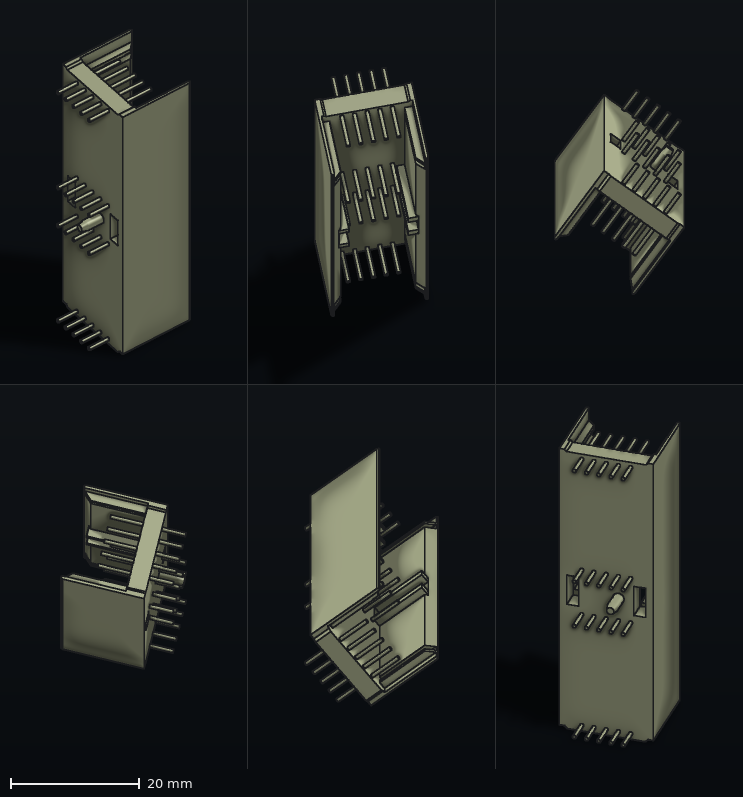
import cadquery as cq


width = 15.4
depth = 13.35
plate_thickness = 3.0
total_height = 50.35
top_z = 25.3
tab_height = 0.45
notch_depth = 0.35
joint_inset = 0.85
wall_bottom_z = top_z - total_height + tab_height
half_width = width / 2

wall_thickness = 0.5
wall_tip_setback_x = 0.15
wall_outer_tip_drop = 0.3
wall_inner_tip_drop = 0.2

rib_reach = 1.75
rib_half_height = 23.1
rib_end_strip = 0.75
groove_height = 1.25

key_reach = 3.0
key_setback = 1.05
key_gap_start = 1.4
left_key_gap_height = 3.15
right_key_gap_height = 3.95
window_start = 1.25
window_width = 1.9
window_height = 5.25

pin_diameter = 0.6
pin_front_length = 3.8
pin_back_length = 5.25
outer_row_z = 24.0
pitch = outer_row_z / 12
inner_row_z = 2 * pitch
pins_per_row = 5
key_half_height = 1.5 * pitch

post_diameter = 1.8
post_tip_diameter = 1.2
post_length = 4.1
post_straight_length = 2.85


def box(x_range, y_range, z_range):
    """Box between two limits on each axis."""
    sizes = [high - low for low, high in (x_range, y_range, z_range)]
    corner = (x_range[0], y_range[0], z_range[0])
    return cq.Workplane("XY").box(*sizes, centered=False).translate(corner)


def extrude_up(points, z_low, z_high):
    """Prism along Z over an XY outline."""
    return cq.Workplane("XY").workplane(offset=z_low).polyline(points).close().extrude(z_high - z_low)


def joint_prism(z_wide, z_narrow):
    """Trapezoid across the plate with 45 degree ends, used for the tongue and the recess."""
    wide = half_width - joint_inset
    narrow = wide - abs(z_wide - z_narrow)
    outline = [(-wide, z_wide), (wide, z_wide), (narrow, z_narrow), (-narrow, z_narrow)]
    return cq.Workplane("XZ").polyline(outline).close().extrude(-plate_thickness)


def base_plate():
    plate = box((-half_width, half_width), (0, plate_thickness), (wall_bottom_z, top_z))
    tongue = joint_prism(wall_bottom_z, wall_bottom_z - tab_height)
    recess = joint_prism(top_z, top_z - notch_depth)
    return plate.union(tongue).cut(recess)


def left_wall(key_gap_height):
    """Left side wall with its guide rib and keying block."""
    outer_x = -half_width
    inner_x = outer_x + wall_thickness
    rib_x = outer_x + rib_reach
    key_x = outer_x + key_reach

    wall_outline = [
        (outer_x, 0),
        (outer_x, depth - wall_outer_tip_drop),
        (outer_x + wall_tip_setback_x, depth),
        (inner_x - wall_tip_setback_x, depth),
        (inner_x, depth - wall_inner_tip_drop),
        (inner_x, 0),
    ]
    wall = extrude_up(wall_outline, wall_bottom_z, top_z)

    lead_in_start_y = depth - wall_inner_tip_drop
    lead_in_end_y = lead_in_start_y - (rib_reach - wall_thickness)
    rib_outline = [
        (inner_x, plate_thickness),
        (inner_x, lead_in_start_y),
        (rib_x, lead_in_end_y),
        (rib_x, plate_thickness),
    ]
    rib = extrude_up(rib_outline, -rib_half_height, rib_half_height)
    groove_top_z = rib_half_height - rib_end_strip
    groove = box(
        (inner_x, rib_x),
        (plate_thickness, depth),
        (groove_top_z - groove_height, groove_top_z),
    )
    rib = rib.cut(groove).cut(groove.mirror("XY"))

    key_block = box(
        (inner_x, key_x),
        (plate_thickness, depth - key_setback),
        (-key_half_height, key_half_height),
    )
    key_gap = box(
        (outer_x + key_gap_start, key_x),
        (plate_thickness, depth),
        (-key_gap_height / 2, key_gap_height / 2),
    )
    return wall.union(rib).union(key_block).cut(key_gap)


def left_window():
    window_x = -half_width + window_start
    return box(
        (window_x, window_x + window_width),
        (0, plate_thickness),
        (-window_height / 2, window_height / 2),
    )


def pins():
    columns = [(i - (pins_per_row - 1) / 2) * pitch for i in range(pins_per_row)]
    rows = [-outer_row_z, -inner_row_z, inner_row_z, outer_row_z]
    return (
        cq.Workplane("XZ", origin=(0, -pin_front_length, 0))
        .pushPoints([(x, z) for x in columns for z in rows])
        .circle(pin_diameter / 2)
        .extrude(-(pin_front_length + plate_thickness + pin_back_length))
    )


def locating_post():
    """Round post with a tapered tip, revolved about its own axis along Y."""
    radius = post_diameter / 2
    outline = [
        (0, 0),
        (radius, 0),
        (radius, -post_straight_length),
        (post_tip_diameter / 2, -post_length),
        (0, -post_length),
    ]
    post = cq.Workplane("XY").polyline(outline).close().revolve(360, (0, 0), (0, 1))
    return post.translate((pitch, 0, 0))


housing = base_plate().union(left_wall(left_key_gap_height))
housing = housing.union(left_wall(right_key_gap_height).mirror("YZ"))
housing = housing.cut(left_window()).cut(left_window().mirror("YZ"))
result = housing.union(pins()).union(locating_post())